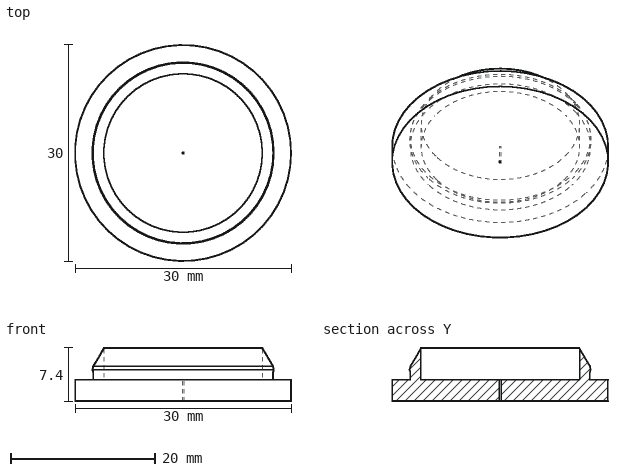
import cadquery as cq

flange_diameter = 30.0
flange_height = 3.0

total_height = 7.4
bore_diameter = 22.0
neck_diameter = 25.02
bead_diameter = 25.2
shoulder_diameter = 25.0
bead_start_height = 4.02
bead_peak_height = 4.38
shoulder_height = 4.85

center_hole_diameter = 0.2

flange_radius = flange_diameter / 2
bore_radius = bore_diameter / 2
neck_radius = neck_diameter / 2
bead_radius = bead_diameter / 2
shoulder_radius = shoulder_diameter / 2

half_section = (
    cq.Workplane("XZ")
    .moveTo(0, 0)
    .lineTo(flange_radius, 0)
    .lineTo(flange_radius, flange_height)
    .lineTo(neck_radius, flange_height)
    .lineTo(neck_radius, bead_start_height)
    .lineTo(bead_radius, bead_peak_height)
    .lineTo(shoulder_radius, shoulder_height)
    .lineTo(bore_radius, total_height)
    .lineTo(bore_radius, flange_height)
    .lineTo(0, flange_height)
    .close()
)
body = half_section.revolve(360, (0, 0, 0), (0, 1, 0))

center_hole = cq.Workplane("XY").circle(center_hole_diameter / 2).extrude(flange_height)

result = body.cut(center_hole)